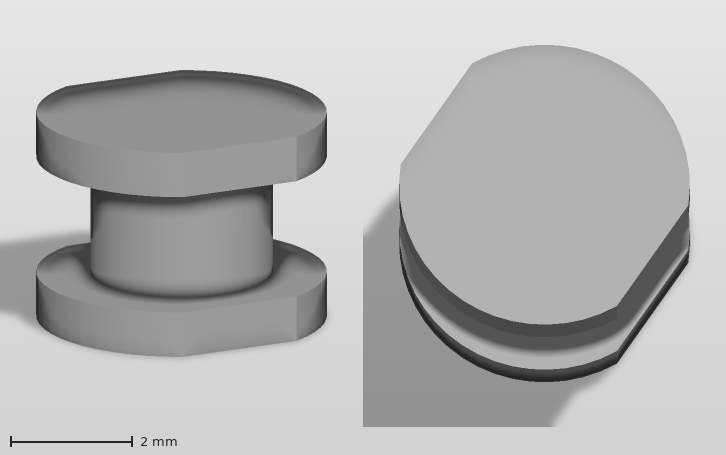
import cadquery as cq

flange_diameter = 4.78
width_across_flats = 4.3
core_diameter = 3.0
total_height = 3.5
flange_thickness = 0.76

core_height = total_height - 2 * flange_thickness


def flange(bottom_z):
    """Disc with two parallel flats facing -X and +X."""
    disc = cq.Workplane("XY").workplane(offset=bottom_z).circle(flange_diameter / 2).extrude(flange_thickness)
    flats = (
        cq.Workplane("XY")
        .workplane(offset=bottom_z)
        .rect(width_across_flats, flange_diameter)
        .extrude(flange_thickness)
    )
    return disc.intersect(flats)


core = cq.Workplane("XY").circle(core_diameter / 2).extrude(core_height / 2, both=True)
lower_flange = flange(-total_height / 2)
upper_flange = flange(core_height / 2)

result = core.union(lower_flange).union(upper_flange)